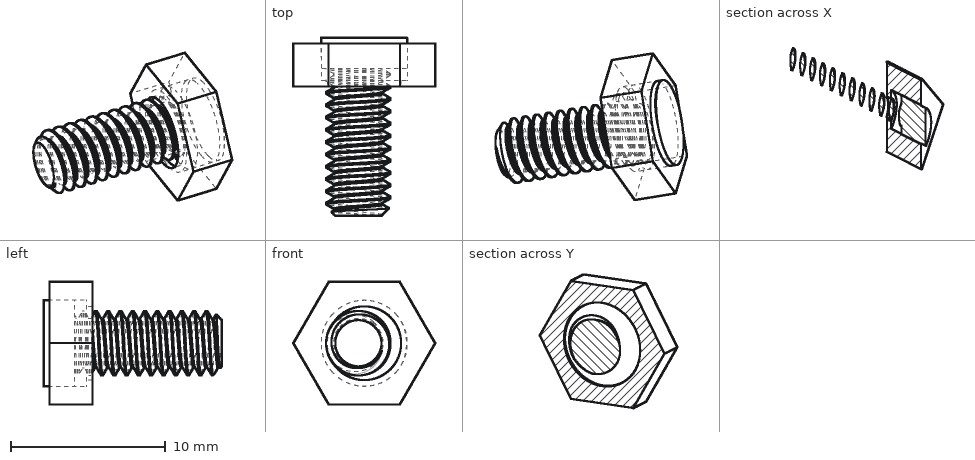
import cadquery as cq
import math


INCH = 25.4

ACROSS_FLATS = 5 / 16 * INCH
WASHER_THICKNESS = 0.11 * INCH
LIP_HOLE_DIAMETER = 3 / 16 * INCH
LIP_THICKNESS = 1 / 64 * INCH

HEAD_DIAMETER = 7 / 32 * INCH
HEAD_PROTRUSION = 0.375
HEAD_BEVEL_RADIUS = 3.107

ECCENTRICITY = 0.38
SHANK_LENGTH = 3 / 8 * INCH
OVERALL_LENGTH = 11.51
THREAD_DIAMETER = 0.164 * INCH
PITCH = INCH / 32
FLANK_HALF_ANGLE = 30
CREST_FLAT = PITCH / 8
THREAD_DEPTH = 0.487
TIP_RADIUS = 1.49
CREST_START = PITCH / 2
RIDGE_SINK = 0.05
ENVELOPE_CLEARANCE = 0.1

WASHER_CORNER_DIAMETER = ACROSS_FLATS / math.cos(math.pi / 6)
HEAD_HEIGHT = OVERALL_LENGTH - SHANK_LENGTH
HEAD_TOP_Y = WASHER_THICKNESS + HEAD_PROTRUSION
HEAD_UNDERSIDE_Y = HEAD_TOP_Y - HEAD_HEIGHT
CREST_RADIUS = THREAD_DIAMETER / 2
ROOT_RADIUS = CREST_RADIUS - THREAD_DEPTH


def cylinder(radius, start_y, end_y):
    """Cylinder on the washer axis between two Y positions."""
    return cq.Workplane("XZ", origin=(0, start_y, 0)).circle(radius).extrude(start_y - end_y)


def make_washer(shank):
    """Hexagonal washer, counterbored for the head, with a thin lip at the front."""
    hexagon = cq.Workplane("XZ").polygon(6, WASHER_CORNER_DIAMETER).extrude(-WASHER_THICKNESS)
    counterbore = cylinder(HEAD_DIAMETER / 2, LIP_THICKNESS, WASHER_THICKNESS)
    lip_hole = cylinder(LIP_HOLE_DIAMETER / 2, 0, LIP_THICKNESS)
    return hexagon.cut(counterbore).cut(lip_hole).cut(shank)


def make_head():
    """Round head whose rear rim is bevelled at 45 degrees about the thread axis."""
    head = cylinder(HEAD_DIAMETER / 2, HEAD_UNDERSIDE_Y, HEAD_TOP_Y)
    bevel_envelope = (
        cq.Workplane("XY")
        .polyline([
            (0, HEAD_UNDERSIDE_Y),
            (HEAD_BEVEL_RADIUS + HEAD_HEIGHT, HEAD_UNDERSIDE_Y),
            (HEAD_BEVEL_RADIUS, HEAD_TOP_Y),
            (0, HEAD_TOP_Y),
        ])
        .close()
        .revolve(360, (0, 0, 0), (0, 1, 0))
        .translate((-ECCENTRICITY, 0, 0))
    )
    return head.intersect(bevel_envelope)


def make_thread_ridge():
    """Helical ridge about Z, running past both ends of the shank."""
    root_half_width = CREST_FLAT / 2 + THREAD_DEPTH * math.tan(math.radians(FLANK_HALF_ANGLE))
    base_radius = ROOT_RADIUS - RIDGE_SINK
    helix = cq.Wire.makeHelix(PITCH, SHANK_LENGTH + 2 * PITCH, ROOT_RADIUS)
    return (
        cq.Workplane("XZ")
        .polyline([
            (base_radius, -root_half_width),
            (ROOT_RADIUS, -root_half_width),
            (CREST_RADIUS, -CREST_FLAT / 2),
            (CREST_RADIUS, CREST_FLAT / 2),
            (ROOT_RADIUS, root_half_width),
            (base_radius, root_half_width),
        ])
        .close()
        .sweep(cq.Workplane(helix), isFrenet=True)
        .translate((0, 0, CREST_START - PITCH))
    )


def make_shank():
    """Threaded shank with a 45 degree bevelled tip, built up Z and laid along -Y."""
    core = cq.Workplane("XY").circle(ROOT_RADIUS).extrude(SHANK_LENGTH).rotate((0, 0, 0), (0, 0, 1), 90)
    tip_bevel = CREST_RADIUS + ENVELOPE_CLEARANCE - TIP_RADIUS
    envelope = (
        cq.Workplane("XY")
        .circle(CREST_RADIUS + ENVELOPE_CLEARANCE)
        .extrude(SHANK_LENGTH)
        .faces(">Z")
        .chamfer(tip_bevel)
        .rotate((0, 0, 0), (0, 0, 1), 90)
    )
    return (
        core.union(make_thread_ridge())
        .intersect(envelope)
        .rotate((0, 0, 0), (1, 0, 0), 90)
        .translate((-ECCENTRICITY, HEAD_UNDERSIDE_Y, 0))
    )


shank = make_shank()
screw = make_head().union(shank)
washer = make_washer(shank)

result = cq.Compound.makeCompound([washer.solids().val(), screw.solids().val()])